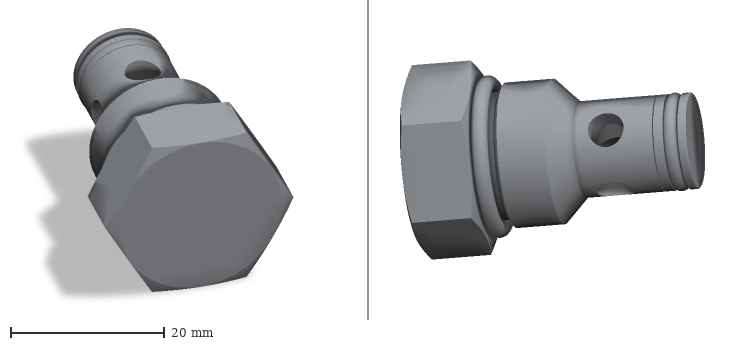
import cadquery as cq
import math

total_length = 37.08

nose_diameter = 12.65
nose_edge_chamfer = 0.15
groove_start = 1.08
groove_end = 4.5
groove_diameter = 10.12
cross_hole_diameter = 4.75
cross_hole_x = 10.65

shoulder_start = 14.95
body_diameter = 19.05
body_end = 24.5
neck_diameter = 16.8
neck_cone_angle = 60.0

hex_start = 27.95
hex_across_flats = 22.25
hex_face_diameter = 22.15
hex_chamfer_length = 0.63

nose_seal_section = 1.8
nose_seal_mean_diameter = 11.1
nose_seal_x = 2.25
backup_start = 3.08
backup_end = 4.35
head_seal_section = 2.22

hex_across_corners = hex_across_flats / math.cos(math.pi / 6)
shoulder_length = (body_diameter - nose_diameter) / 2
neck_cone_length = (body_diameter - neck_diameter) / 2 / math.tan(math.radians(neck_cone_angle))
head_seal_x = hex_start - head_seal_section / 2
head_seal_mean_diameter = neck_diameter + head_seal_section


def cylinder(start, end, diameter):
    """Solid cylinder along the X axis."""
    return cq.Workplane("YZ", origin=(start, 0, 0)).circle(diameter / 2).extrude(end - start)


def tube(start, end, inner_diameter, outer_diameter):
    """Plain ring along the X axis."""
    return cylinder(start, end, outer_diameter).cut(cylinder(start, end, inner_diameter))


def o_ring(center_x, mean_diameter, section):
    """Round-section ring about the X axis."""
    return (
        cq.Workplane("XY")
        .center(center_x, mean_diameter / 2)
        .circle(section / 2)
        .revolve(360, (0, -mean_diameter / 2), (1, -mean_diameter / 2))
    )


def turned_stem():
    """Nose, seal groove, 45 degree shoulder, body and neck up to the head."""
    nose_radius = nose_diameter / 2
    body_radius = body_diameter / 2
    neck_radius = neck_diameter / 2
    stem = (
        cq.Workplane("XY")
        .moveTo(0, 0)
        .lineTo(0, nose_radius - nose_edge_chamfer)
        .lineTo(nose_edge_chamfer, nose_radius)
        .lineTo(shoulder_start, nose_radius)
        .lineTo(shoulder_start + shoulder_length, body_radius)
        .lineTo(body_end, body_radius)
        .lineTo(body_end + neck_cone_length, neck_radius)
        .lineTo(hex_start, neck_radius)
        .lineTo(hex_start, 0)
        .close()
        .revolve(360, (0, 0), (1, 0))
    )
    return stem.cut(tube(groove_start, groove_end, groove_diameter, nose_diameter))


def hex_head():
    """Hexagon with two corners on the Y axis, its corners coned off at both ends."""
    hexagon = (
        cq.Workplane("YZ", origin=(hex_start, 0, 0))
        .polygon(6, hex_across_corners)
        .extrude(total_length - hex_start)
    )
    face_radius = hex_face_diameter / 2
    corner_radius = hex_across_corners / 2
    corner_envelope = (
        cq.Workplane("XY")
        .moveTo(hex_start, 0)
        .lineTo(hex_start, face_radius)
        .lineTo(hex_start + hex_chamfer_length, corner_radius)
        .lineTo(total_length - hex_chamfer_length, corner_radius)
        .lineTo(total_length, face_radius)
        .lineTo(total_length, 0)
        .close()
        .revolve(360, (0, 0), (1, 0))
    )
    return hexagon.intersect(corner_envelope)


def make_housing():
    """Stem and hex head in one piece, with two crossed through holes in the nose."""
    housing = turned_stem().union(hex_head())
    for plane in ("XY", "XZ"):
        cross_hole = (
            cq.Workplane(plane)
            .center(cross_hole_x, 0)
            .circle(cross_hole_diameter / 2)
            .extrude(nose_diameter, both=True)
        )
        housing = housing.cut(cross_hole)
    return housing


def make_nose_seal():
    """O-ring of the nose groove, its inside flattened on the groove floor."""
    ring = o_ring(nose_seal_x, nose_seal_mean_diameter, nose_seal_section)
    return ring.cut(cylinder(groove_start, groove_end, groove_diameter))


def make_backup_ring(seal):
    """Flush ring behind the nose seal, with a shallow seat where the seal presses in."""
    return tube(backup_start, backup_end, groove_diameter, nose_diameter).cut(seal)


def make_head_seal():
    """O-ring on the neck, resting against the hex head."""
    return o_ring(head_seal_x, head_seal_mean_diameter, head_seal_section)


housing = make_housing()
nose_seal = make_nose_seal()
backup_ring = make_backup_ring(nose_seal)
head_seal = make_head_seal()

bodies = [housing, nose_seal, backup_ring, head_seal]
result = cq.Compound.makeCompound([body.solids().val() for body in bodies])